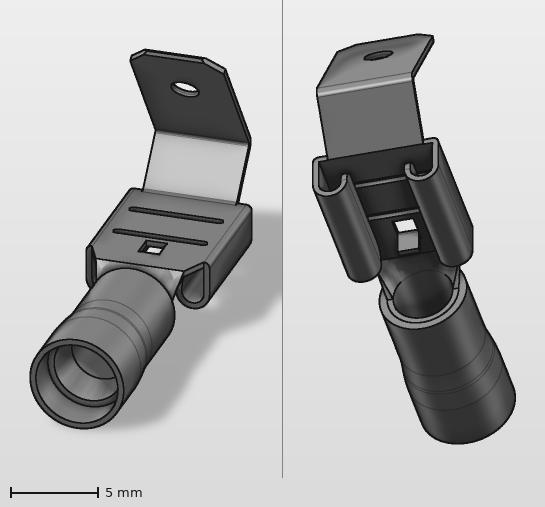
import cadquery as cq
import math


sheet = 0.35
barrel_outer_radius = 2.12
barrel_inner_radius = barrel_outer_radius - sheet
plate_top = barrel_outer_radius
plate_bottom = plate_top - sheet
plate_middle = plate_top - sheet / 2

sleeve_length = 10.2
bell_radius = 2.83
sleeve_radius = 2.6
bell_wall = 0.35
bell_depth = 2.22
funnel_mouth_radius = 2.1
barrel_start = 4.48
bell_straight_end = 3.1
taper_arc_start = 4.44
taper_arc_end = 4.65
taper_end = 5.92

neck_end = 11.7
neck_half_width = 2.67
flange_start = 13.17
plate_end = 21.03
overall_width = 7.45
fold_radius = sheet
curl_radius = 1.01
curl_height = 0.07
lip_top = 1.06
lip_corner_radius = 0.95

slot_length = 5.66
slot_width = 0.5
slot_positions = (15.48, 18.45)
window_width = 1.25
window_start = 13.29
window_end = 14.82
stop_thickness = 0.3
stop_bottom = 0.52
stop_inner_radius = 0.24

overall_length = 23.6
tab_width = 5.66
hinge_y = 20.98
hinge_radius = 0.28
rise_angle = 48.9
bend_inner_radius = 0.2
tab_angle = 54.7
tab_leg_length = 9.49
tip_chamfer = 1.18
tab_hole_diameter = 1.65
tab_hole_from_tip = 3.78


def make_sleeve():
    """Insulating sleeve: flared bell, inner shoulder, funnel and barrel seat."""
    drop = bell_radius - sleeve_radius
    bell_arc = taper_arc_start - bell_straight_end
    cone = taper_arc_end - taper_arc_start
    sleeve_arc = taper_end - taper_arc_end
    slope = drop / (bell_arc / 2 + cone + sleeve_arc / 2)
    cone_start_radius = bell_radius - slope * bell_arc / 2
    cone_end_radius = sleeve_radius + slope * sleeve_arc / 2
    bell_bore = bell_radius - bell_wall
    profile = (
        cq.Workplane("XY")
        .moveTo(bell_bore, 0)
        .lineTo(bell_radius, 0)
        .lineTo(bell_radius, bell_straight_end)
        .tangentArcPoint((cone_start_radius, taper_arc_start), relative=False)
        .lineTo(cone_end_radius, taper_arc_end)
        .tangentArcPoint((sleeve_radius, taper_end), relative=False)
        .lineTo(sleeve_radius, sleeve_length)
        .lineTo(barrel_outer_radius, sleeve_length)
        .lineTo(barrel_outer_radius, barrel_start)
        .lineTo(barrel_inner_radius, barrel_start)
        .lineTo(funnel_mouth_radius, bell_depth)
        .lineTo(bell_bore, bell_depth)
        .close()
    )
    return profile.revolve(360, (0, 0, 0), (0, 1, 0))


def plane_facing_y(y):
    """Section plane at the given Y, with local x along X and local y along Z."""
    return cq.Plane(origin=(0, y, 0), xDir=(1, 0, 0), normal=(0, -1, 0))


def make_barrel():
    return (
        cq.Workplane(plane_facing_y(sleeve_length))
        .circle(barrel_outer_radius)
        .circle(barrel_inner_radius)
        .extrude(sleeve_length - barrel_start)
    )


def make_neck():
    """Transition from the upper half of the barrel to the flat plate, ruled edge to edge."""
    half_ring = (
        cq.Workplane(plane_facing_y(sleeve_length))
        .moveTo(-barrel_outer_radius, 0)
        .threePointArc((0, barrel_outer_radius), (barrel_outer_radius, 0))
        .lineTo(barrel_inner_radius, 0)
        .threePointArc((0, barrel_inner_radius), (-barrel_inner_radius, 0))
        .close()
        .val()
    )
    flat_strip = (
        cq.Workplane(plane_facing_y(neck_end))
        .moveTo(-neck_half_width, plate_top)
        .lineTo(neck_half_width, plate_top)
        .lineTo(neck_half_width, plate_bottom)
        .lineTo(-neck_half_width, plate_bottom)
        .close()
        .val()
    )
    faces = [cq.Face.makeFromWires(half_ring), cq.Face.makeFromWires(flat_strip)]
    for ring_edge, strip_edge in zip(half_ring.Edges(), flat_strip.Edges()):
        faces.append(cq.Face.makeRuledSurface(ring_edge, strip_edge))
    return cq.Workplane(cq.Solid.makeSolid(cq.Shell.makeShell(faces)).fix())


def make_plate():
    """Flat plate between the folds, narrowing towards the neck."""
    half_width = overall_width / 2 - fold_radius
    return (
        cq.Workplane("XY", origin=(0, 0, plate_bottom))
        .polyline([
            (-neck_half_width, neck_end),
            (neck_half_width, neck_end),
            (half_width, flange_start),
            (half_width, plate_end),
            (-half_width, plate_end),
            (-half_width, flange_start),
        ])
        .close()
        .extrude(sheet)
    )


def make_right_flange():
    """Side wall on the +X side: folded down, curled inwards and up into a round-cornered lip."""
    wall_outside = overall_width / 2
    wall_inside = wall_outside - sheet
    fold_center = wall_outside - fold_radius
    fold_mid = fold_radius * math.sqrt(0.5)
    curl_center = wall_outside - curl_radius
    curl_inner_radius = curl_radius - sheet
    lip_middle = curl_center - curl_radius + sheet / 2
    flange = (
        cq.Workplane(plane_facing_y(plate_end))
        .moveTo(fold_center, plate_bottom)
        .lineTo(fold_center, plate_top)
        .threePointArc(
            (fold_center + fold_mid, plate_top - fold_radius + fold_mid),
            (wall_outside, plate_top - fold_radius),
        )
        .lineTo(wall_outside, curl_height)
        .threePointArc(
            (curl_center, curl_height - curl_radius),
            (curl_center - curl_radius, curl_height),
        )
        .lineTo(curl_center - curl_radius, lip_top)
        .lineTo(curl_center - curl_inner_radius, lip_top)
        .lineTo(curl_center - curl_inner_radius, curl_height)
        .threePointArc(
            (curl_center, curl_height - curl_inner_radius),
            (wall_inside, curl_height),
        )
        .lineTo(wall_inside, plate_bottom)
        .close()
        .extrude(plate_end - flange_start)
    )
    for y in (flange_start, plate_end):
        lip_corner = cq.selectors.NearestToPointSelector((lip_middle, y, lip_top))
        flange = flange.edges(lip_corner).fillet(lip_corner_radius)
    return flange


def cut_plate_openings(plate):
    """Cut the two cross slots and the square window through the plate."""
    window_length = window_end - window_start
    cut_plane = cq.Workplane("XY", origin=(0, 0, plate_bottom))
    slots = (
        cut_plane
        .pushPoints([(0, y) for y in slot_positions])
        .slot2D(slot_length, slot_width)
        .extrude(sheet)
    )
    window = (
        cut_plane
        .center(0, window_start + window_length / 2)
        .rect(window_width, window_length)
        .extrude(sheet)
    )
    return plate.cut(slots).cut(window)


def make_wire_stop():
    """Tongue lanced from the window and bent down as a stop for the wire."""
    stop_back = window_start + stop_thickness
    stop_front = stop_back - sheet
    bend_mid = stop_thickness * math.sqrt(0.5)
    inner_mid = stop_inner_radius * (1 - math.sqrt(0.5))
    return (
        cq.Workplane("YZ", origin=(-window_width / 2, 0, 0))
        .moveTo(stop_front - stop_inner_radius, plate_bottom)
        .lineTo(window_start, plate_bottom)
        .lineTo(window_start, plate_top)
        .threePointArc(
            (window_start + bend_mid, plate_top - stop_thickness + bend_mid),
            (stop_back, plate_top - stop_thickness),
        )
        .lineTo(stop_back, stop_bottom)
        .lineTo(stop_front, stop_bottom)
        .lineTo(stop_front, plate_bottom - stop_inner_radius)
        .threePointArc(
            (stop_front - inner_mid, plate_bottom - inner_mid),
            (stop_front - stop_inner_radius, plate_bottom),
        )
        .close()
        .extrude(window_width)
    )


def make_tab():
    """Tab rising from the plate end, bent back over the plate, with a bevelled, corner-cut tip."""
    lean = math.radians(tab_angle)
    rise = math.radians(rise_angle)
    turn = math.pi - lean - rise
    bisector = rise + turn / 2
    leg_y = -math.cos(lean)
    leg_z = math.sin(lean)
    bend_outer_radius = bend_inner_radius + sheet

    center_to_corner = (bend_inner_radius + sheet / 2) / math.cos(turn / 2)
    bend_center_y = overall_length - bend_outer_radius
    bend_y = bend_center_y + center_to_corner * math.sin(bisector)
    bend_z = plate_middle + (bend_y - hinge_y) * math.tan(rise)
    tip_y = bend_y + tab_leg_length * leg_y
    tip_z = bend_z + tab_leg_length * leg_z

    hinge_shift = sheet / 2 * math.tan(rise / 2)
    bend_shift = sheet / 2 / math.cos(turn / 2)
    out_y = bend_shift * math.sin(bisector)
    out_z = -bend_shift * math.cos(bisector)
    face_y = sheet / 2 * leg_z
    face_z = -sheet / 2 * leg_y
    bevel = sheet / 2
    root_y = hinge_y - hinge_radius - sheet

    profile = (
        cq.Workplane("YZ", origin=(-tab_width / 2, 0, 0))
        .polyline([
            (root_y, plate_bottom),
            (hinge_y + hinge_shift, plate_bottom),
            (bend_y + out_y, bend_z + out_z),
            (tip_y - bevel * leg_y + face_y, tip_z - bevel * leg_z + face_z),
            (tip_y, tip_z),
            (tip_y - bevel * leg_y - face_y, tip_z - bevel * leg_z - face_z),
            (bend_y - out_y, bend_z - out_z),
            (hinge_y - hinge_shift, plate_top),
            (root_y, plate_top),
        ])
        .close()
        .extrude(tab_width)
    )

    def corner(y, z):
        return cq.selectors.NearestToPointSelector((0, y, z))

    tab = (
        profile
        .edges(corner(bend_y + out_y, bend_z + out_z)).fillet(bend_outer_radius)
        .edges(corner(bend_y - out_y, bend_z - out_z)).fillet(bend_inner_radius)
        .edges(corner(hinge_y - hinge_shift, plate_top)).fillet(hinge_radius)
    )

    leg_plane = cq.Plane(
        origin=(0, tip_y, tip_z),
        xDir=(1, 0, 0),
        normal=(0, -leg_z, leg_y),
    )
    for side in (-1, 1):
        corner_cut = (
            cq.Workplane(leg_plane)
            .polyline([
                (side * (tab_width / 2 - tip_chamfer), 0),
                (side * tab_width / 2, -tip_chamfer),
                (side * tab_width / 2, 0),
            ])
            .close()
            .extrude(sheet, both=True)
        )
        tab = tab.cut(corner_cut)
    hole = (
        cq.Workplane(leg_plane)
        .center(0, -tab_hole_from_tip)
        .circle(tab_hole_diameter / 2)
        .extrude(sheet, both=True)
    )
    return tab.cut(hole)


def make_terminal():
    """Sheet-metal terminal: barrel, neck, plate, curled side walls, wire stop and tab."""
    right_flange = make_right_flange()
    return (
        make_barrel()
        .union(make_neck())
        .union(cut_plate_openings(make_plate()))
        .union(right_flange)
        .union(right_flange.mirror("YZ"))
        .union(make_tab())
        .union(make_wire_stop())
    )


sleeve = make_sleeve()
terminal = make_terminal()
result = cq.Compound.makeCompound([sleeve.val(), terminal.val()])